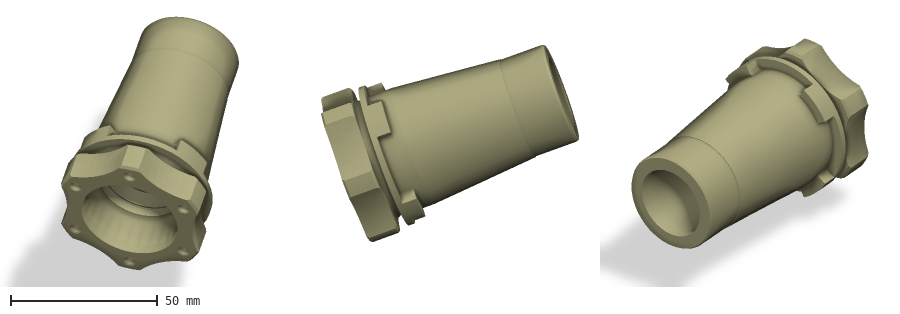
import cadquery as cq
import math

total_length = 78.5
head_length = 11.0
flange_front = 14.0
flange_back = 16.0
lug_back = 21.0
taper_start = 24.6
taper_end = 62.65

head_radius = 53.0 / 2
flange_radius = 50.0 / 2
neck_radius = 20.8
body_radius = 21.0
taper_end_radius = 17.75
nose_radius = 17.5

neck_fillet = (flange_front - head_length) / 3
head_chamfer = 0.8
nose_chamfer_length = 0.8
nose_chamfer_depth = 0.5

lobe_count = 6
first_lobe_angle = 180 / lobe_count
scallop_floor_radius = 22.05
scallop_radius = 25.1

hole_circle_radius = 22.0
hole_radius = 1.7
hole_depth = 7.85
countersink_radius = 2.1
drill_point_angle = 118.0

lug_count = 4
lug_angle = 30.0
lug_root_fillet = 1.5
gap_overcut = 0.8

mouth_radius = 16.95
seat_radius = 15.8
seat_depth = 13.35
seat_fillet = 1.5
lip_radius = seat_radius - seat_fillet
groove_front = 17.6
groove_back = 18.6
groove_radius = 14.5
bore_radius = 14.0
through_radius = 12.55
through_front = taper_start

axis_start = (0, 0)
axis_end = (0, 1)
turn_axis = ((0, 0, 0), (0, 1, 0))


def revolve(profile):
    """Turn a closed (radius, y) profile about the Y axis."""
    return profile.close().revolve(360, axis_start, axis_end)


def disc(radius, front, back):
    """Solid cylinder along Y between two axial positions."""
    return cq.Workplane("XZ", origin=(0, front, 0)).circle(radius).extrude(front - back)


def at(radius, angle):
    """Point (x, z) at a radius and an angle in degrees."""
    a = math.radians(angle)
    return (radius * math.cos(a), radius * math.sin(a))


def polar_points(radius, count, first_angle):
    """Evenly spaced (x, z) points on a circle."""
    return [at(radius, first_angle + i * 360 / count) for i in range(count)]


def make_neck_and_collar():
    """Filleted neck, then the flange extended back into a full collar for the lugs."""
    fillet_top = neck_radius + neck_fillet
    profile = (
        cq.Workplane("XY")
        .moveTo(0, head_length)
        .lineTo(fillet_top, head_length)
        .radiusArc((neck_radius, head_length + neck_fillet), neck_fillet)
        .lineTo(neck_radius, flange_front - neck_fillet)
        .radiusArc((fillet_top, flange_front), neck_fillet)
        .lineTo(flange_radius, flange_front)
        .lineTo(flange_radius, lug_back)
        .lineTo(0, lug_back)
    )
    return revolve(profile)


def make_sleeve():
    """Cylinder inside the lugs, long taper and straight chamfered nose."""
    sleeve_front = (flange_front + flange_back) / 2
    profile = (
        cq.Workplane("XY")
        .moveTo(0, sleeve_front)
        .lineTo(body_radius, sleeve_front)
        .lineTo(body_radius, taper_start)
        .lineTo(taper_end_radius, taper_end)
        .lineTo(nose_radius, taper_end)
        .lineTo(nose_radius, total_length - nose_chamfer_length)
        .lineTo(nose_radius - nose_chamfer_depth, total_length)
        .lineTo(0, total_length)
    )
    return revolve(profile)


def make_head():
    """Chamfered disc with a shallow scallop between neighbouring lobes."""
    head = disc(head_radius, 0, head_length).edges().chamfer(head_chamfer)
    centres = polar_points(scallop_floor_radius + scallop_radius, lobe_count, 0)
    for x, z in centres:
        scallop = disc(scallop_radius, 0, head_length).translate((x, 0, z))
        head = head.cut(scallop)
    return head


def make_lug_gap():
    """Gap between two lugs, with radial ends that blend into the body."""
    centre_radius = body_radius + lug_root_fillet
    blend_angle = math.degrees(math.asin(lug_root_fillet / centre_radius))
    wall_tangent_radius = math.sqrt(centre_radius**2 - lug_root_fillet**2)
    outside_radius = flange_radius + gap_overcut
    inside_radius = body_radius - gap_overcut
    half_gap = (360 / lug_count - lug_angle) / 2
    half_floor = half_gap - blend_angle

    return (
        cq.Workplane("XZ", origin=(0, flange_back, 0))
        .moveTo(*at(inside_radius, -half_floor))
        .threePointArc(at(inside_radius, 0), at(inside_radius, half_floor))
        .lineTo(*at(body_radius, half_floor))
        .radiusArc(at(wall_tangent_radius, half_gap), lug_root_fillet)
        .lineTo(*at(outside_radius, half_gap))
        .threePointArc(at(outside_radius, 0), at(outside_radius, -half_gap))
        .lineTo(*at(wall_tangent_radius, -half_gap))
        .radiusArc(at(body_radius, -half_floor), lug_root_fillet)
        .close()
        .extrude(flange_back - lug_back)
    )


def make_bore():
    """Tapered mouth, filleted seat, short lip, shallow groove and stepped through bore."""
    profile = (
        cq.Workplane("XY")
        .lineTo(mouth_radius, 0)
        .lineTo(seat_radius, seat_depth)
        .radiusArc((lip_radius, seat_depth + seat_fillet), -seat_fillet)
        .lineTo(lip_radius, groove_front)
        .lineTo(groove_radius, groove_front)
        .lineTo(groove_radius, groove_back)
        .lineTo(bore_radius, groove_back)
        .lineTo(bore_radius, through_front)
        .lineTo(through_radius, through_front)
        .lineTo(through_radius, total_length)
        .lineTo(0, total_length)
    )
    return revolve(profile)


def make_holes():
    """Countersunk blind holes with drill-point bottoms."""
    point_length = hole_radius / math.tan(math.radians(drill_point_angle / 2))
    profile = (
        cq.Workplane("XY")
        .lineTo(countersink_radius, 0)
        .lineTo(hole_radius, countersink_radius - hole_radius)
        .lineTo(hole_radius, hole_depth)
        .lineTo(0, hole_depth + point_length)
    )
    hole = revolve(profile)
    points = polar_points(hole_circle_radius, lobe_count, first_lobe_angle)
    return [hole.translate((x, 0, z)) for x, z in points]


collar = make_neck_and_collar()
for i in range(lug_count):
    collar = collar.cut(make_lug_gap().rotate(*turn_axis, i * 360 / lug_count))

result = make_head().union(collar).union(make_sleeve()).cut(make_bore())
for hole in make_holes():
    result = result.cut(hole)